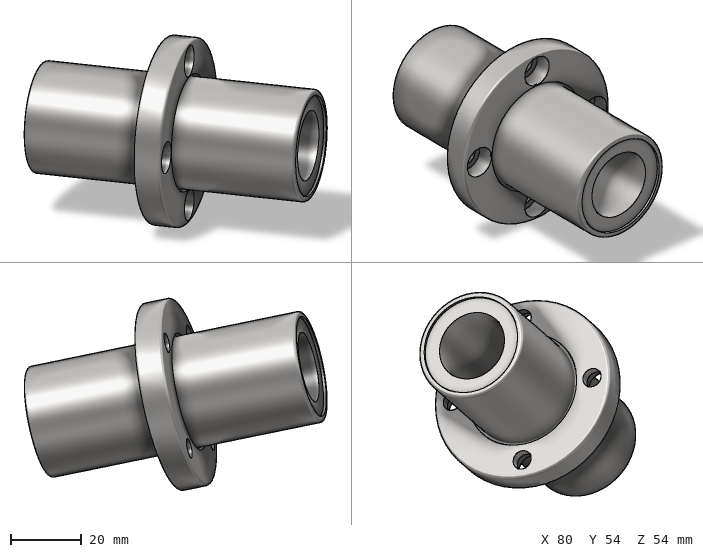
import cadquery as cq

length = 80.0
sleeve_radius = 16.0
bore_radius = 10.0
edge_round = 0.8

rim_width = 0.8
recess_radius = sleeve_radius - edge_round - rim_width
recess_depth = 0.8

flange_radius = 54.0 / 2
flange_thickness = 8.0
relief_radius = 16.8
relief_depth = 0.8
relief_floor_round = 0.2

hole_diameter = 5.5
counterbore_diameter = 9.0
counterbore_depth = 5.1
hole_circle_radius = 21.5
hole_count = 4


def cylinder(radius, width, center_x=0.0):
    """Solid disc about the X axis, centred at center_x."""
    start = center_x - width / 2
    return cq.Workplane("YZ").workplane(offset=start).circle(radius).extrude(width)


def make_sleeve():
    sleeve = cylinder(sleeve_radius, length).edges().fillet(edge_round)
    for side in (-1, 1):
        recess_center = side * (length - recess_depth) / 2
        sleeve = sleeve.cut(cylinder(recess_radius, recess_depth, recess_center))
    return sleeve


def make_flange():
    return cylinder(flange_radius, flange_thickness).edges().fillet(edge_round)


def bolt_circle(diameter, start_x, end_x):
    """Pins parallel to X on the bolt circle, spanning start_x to end_x."""
    return (
        cq.Workplane("YZ")
        .workplane(offset=start_x)
        .polarArray(hole_circle_radius, 0, 360, hole_count)
        .circle(diameter / 2)
        .extrude(end_x - start_x)
    )


def make_relief(side):
    """Shallow groove with rounded floor corners in one flange face, next to the sleeve."""
    groove_center = side * (flange_thickness - relief_depth) / 2
    groove = cylinder(relief_radius, relief_depth, groove_center)
    groove = groove.cut(cylinder(sleeve_radius, relief_depth, groove_center))
    floor = "<X" if side > 0 else ">X"
    return groove.faces(floor).edges().fillet(relief_floor_round)


result = make_sleeve().union(make_flange())

result = result.cut(cylinder(bore_radius, length))

front_x = -flange_thickness / 2
back_x = flange_thickness / 2
result = result.cut(bolt_circle(hole_diameter, front_x, back_x))
result = result.cut(bolt_circle(counterbore_diameter, back_x - counterbore_depth, back_x))

for side in (-1, 1):
    result = result.cut(make_relief(side))